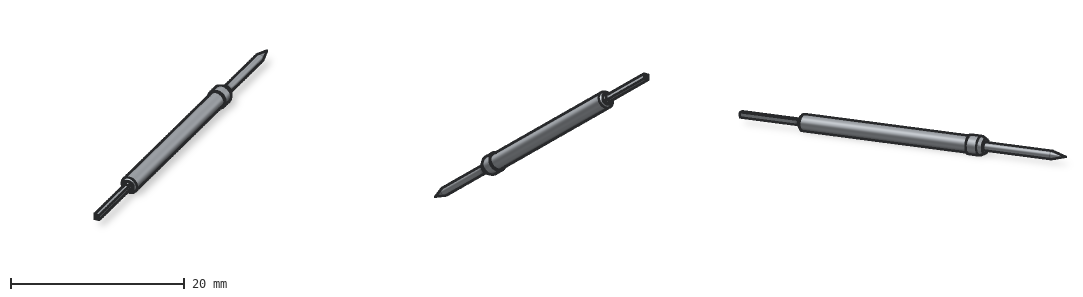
import cadquery as cq


overall_length = 42.5
plunger_reach = 10.5
tip_length = 1.85
collar_length = 2.0
barrel_end = 24.0
neck_length = 0.25
post_tip_length = 0.2

plunger_diameter = 1.0
collar_diameter = 2.3
barrel_diameter = 2.0
neck_front_diameter = 1.1
post_width = 0.62
post_tip_width = 0.1

collar_chamfer_length = 0.6
collar_chamfer_depth = 0.3
barrel_chamfer = 0.3

post_end = overall_length - plunger_reach


def cylinder(diameter, rear, front):
    """Round bar about the Y axis between two Y positions."""
    section = cq.Workplane("XZ", origin=(0, front, 0)).circle(diameter / 2)
    return section.extrude(front - rear)


def cone(rear_diameter, front_diameter, rear, front):
    """Cone frustum about the Y axis; a front diameter of zero makes a point."""
    profile = cq.Workplane("XY").moveTo(0, rear).lineTo(rear_diameter / 2, rear)
    if front_diameter > 0:
        profile = profile.lineTo(front_diameter / 2, front)
    profile = profile.lineTo(0, front).close()
    return profile.revolve(360, (0, 0, 0), (0, 1, 0))


def make_plunger():
    """Round shaft with a sharp conical tip, rooted inside the collar."""
    tip_base = plunger_reach - tip_length
    shaft = cylinder(plunger_diameter, -collar_length, tip_base)
    return shaft.union(cone(plunger_diameter, 0, tip_base, plunger_reach))


def make_barrel():
    """Solid barrel with a chamfered rear rim and a wider collar with a tapered nose."""
    collar = cylinder(collar_diameter, -collar_length, -collar_chamfer_length)
    collar_nose = cone(
        collar_diameter,
        collar_diameter - 2 * collar_chamfer_depth,
        -collar_chamfer_length,
        0,
    )
    tube = cylinder(barrel_diameter, -barrel_end, -collar_length)
    return collar.union(collar_nose).union(tube.faces("<Y").edges().chamfer(barrel_chamfer))


def make_tail():
    """Conical neck and the square wrap post with its pyramid end."""
    post_length = post_end - post_tip_length - barrel_end
    neck = cone(post_width, neck_front_diameter, -barrel_end - neck_length, -barrel_end)
    post = cq.Workplane("XZ", origin=(0, -barrel_end, 0)).rect(post_width, post_width).extrude(post_length)
    post_tip = (
        cq.Workplane("XZ", origin=(0, post_tip_length - post_end, 0))
        .rect(post_width, post_width)
        .workplane(offset=post_tip_length)
        .rect(post_tip_width, post_tip_width)
        .loft()
    )
    return neck.union(post).union(post_tip)


result = make_barrel().union(make_plunger()).union(make_tail())